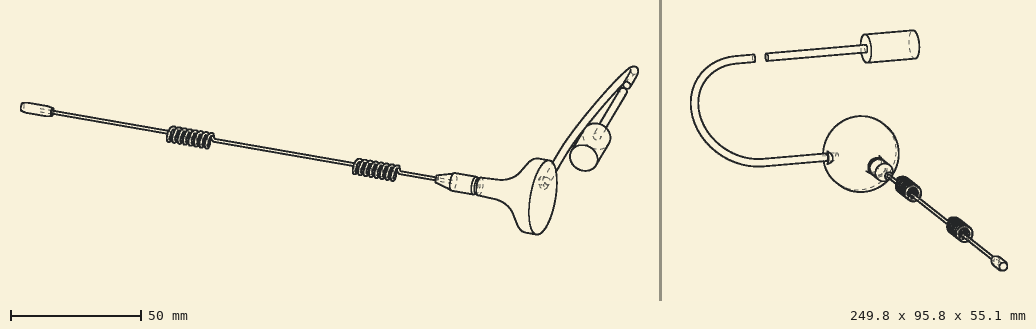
import cadquery as cq
import math


base_radius = 14.5
rim_fillet = 2.0
flare_end_x = -9.6
flare_end_radius = 9.0
flare_start_x = -19.9
neck_radius = 3.8
ferrule_radius = 3.5
groove_x = -27.3
groove_half_width = 1.0
groove_depth = 0.5
shoulder_x = -37.2
shoulder_length = 0.8
cone_base_radius = 3.1
ferrule_tip_x = -44.0
ferrule_tip_radius = 1.5

wire_diameter = 1.25
wire_radius = wire_diameter / 2
wire_grip = 6.0
coil_centers_x = (-145.8, -68.8)
coil_radius = 2.55
coil_axis_y = -1.1
coil_pitch = 2.25
coil_passes = 8
coil_end_angle = 60.0
coil_lead_length = 1.2

cap_tip_x = -215.7
cap_length = 12.4
cap_radius = 2.0
cap_end_radius = 1.6
cap_nose_length = 1.8
cap_tail_length = 2.3

cable_diameter = 3.0
cable_radius = cable_diameter / 2
cable_boss_radius = 2.7
cable_boss_x = -4.4
cable_boss_end_y = 14.1
cable_angle = math.radians(7.5)
cable_origin_x = -2.5
cable_start = 10.0
cable_bend_start = 40.8
cable_bend_radius = 22.15
cable_height = 35.05
cable_tail_length = 7.4
cable_gap = 5.4
cable_lead_length = 41.2
connector_radius = 5.5
connector_length = 20.0

outward = cq.Vector(-math.sin(cable_angle), math.cos(cable_angle), 0)
across = cq.Vector(math.cos(cable_angle), math.sin(cable_angle), 0)
up = cq.Vector(0, 0, 1)
along_x = cq.Vector(1, 0, 0)


def rod(start, direction, length, radius):
    """Round rod from a start point along a direction."""
    return cq.Workplane(obj=cq.Solid.makeCylinder(radius, length, start, direction))


def turned(profile):
    """Solid of revolution about the X axis from a closed profile."""
    return profile.close().revolve(360, (0, 0, 0), (1, 0, 0))


cap_tail_x = cap_tip_x + cap_length
wire_start_x = cap_tail_x - wire_grip
wire_end_x = ferrule_tip_x + wire_grip

coil_turns = coil_passes - 2 * coil_end_angle / 360
coil_height = coil_turns * coil_pitch
coil_half_length = coil_height / 2 + coil_lead_length


def coil(center_x):
    """Left-handed winding with a bend at each end that meets the straight wire."""
    winding = cq.Wire.makeHelix(coil_pitch, coil_height, coil_radius, lefthand=True)
    winding = winding.translate(cq.Vector(0, 0, -coil_height / 2))
    winding = winding.rotate(cq.Vector(), up, -coil_end_angle).Edges()[0]
    entry = cq.Vector(-coil_axis_y, 0, -coil_half_length)
    leave = cq.Vector(-coil_axis_y, 0, coil_half_length)
    lead_in = cq.Edge.makeSpline([entry, winding.startPoint()], [up, winding.tangentAt(0)])
    lead_out = cq.Edge.makeSpline([winding.endPoint(), leave], [winding.tangentAt(1), up])
    path = cq.Wire.assembleEdges([lead_in, winding, lead_out])
    section = cq.Wire.makeCircle(wire_radius, entry, up)
    body = cq.Solid.sweep(section, [], path, True, True)
    frame = cq.Plane(origin=(center_x, coil_axis_y, 0), xDir=(0, 1, 0), normal=(1, 0, 0))
    return cq.Workplane(obj=body.moved(cq.Location(frame)))


def make_whip():
    starts = [wire_start_x] + [x + coil_half_length for x in coil_centers_x]
    ends = [x - coil_half_length for x in coil_centers_x] + [wire_end_x]
    body = cq.Workplane()
    for start, end in zip(starts, ends):
        body = body.add(rod(cq.Vector(start, 0, 0), along_x, end - start, wire_radius))
    for center_x in coil_centers_x:
        body = body.add(coil(center_x))
    return body.combine()


def make_cap():
    profile = (
        cq.Workplane("XZ")
        .moveTo(cap_tip_x, 0)
        .lineTo(cap_tip_x, cap_end_radius)
        .lineTo(cap_tip_x + cap_nose_length, cap_radius)
        .lineTo(cap_tail_x - cap_tail_length, cap_radius)
        .lineTo(cap_tail_x, cap_end_radius)
        .lineTo(cap_tail_x, 0)
    )
    socket = rod(cq.Vector(wire_start_x, 0, 0), along_x, wire_grip, wire_radius)
    return turned(profile).cut(socket)


run_start = cq.Vector(cable_origin_x, 0, 0) + outward * cable_start
bend_start = cq.Vector(cable_origin_x, 0, 0) + outward * cable_bend_start
bend_span_x = math.sqrt((2 * cable_bend_radius) ** 2 - cable_height**2)
bend_end = bend_start + across * bend_span_x + up * cable_height
bend_top = (bend_start + bend_end) * 0.5 + outward * cable_bend_radius
tail_end = bend_end - outward * cable_tail_length
lead_start = tail_end - outward * cable_gap
connector_front = lead_start - outward * cable_lead_length


def make_base_cable():
    run = cq.Edge.makeLine(run_start, bend_start)
    bend = cq.Edge.makeThreePointArc(bend_start, bend_top, bend_end)
    tail = cq.Edge.makeLine(bend_end, tail_end)
    path = cq.Wire.assembleEdges([run, bend, tail])
    return cq.Workplane(cq.Plane(run_start, across, outward)).circle(cable_radius).sweep(path)


def make_connector_cable():
    return rod(lead_start, outward * -1, cable_lead_length, cable_radius)


def make_connector():
    return rod(connector_front, outward * -1, connector_length, connector_radius)


def make_base():
    flare_length = flare_end_x - flare_start_x
    flare_rise = flare_end_radius - neck_radius
    flare_angle = 2 * math.atan(flare_rise / flare_length)
    rim_x = flare_end_x + (base_radius - flare_end_radius) / math.tan(flare_angle)
    profile = (
        cq.Workplane("XZ")
        .moveTo(0, 0)
        .lineTo(0, base_radius)
        .lineTo(rim_x, base_radius)
        .lineTo(flare_end_x, flare_end_radius)
        .tangentArcPoint((flare_start_x, neck_radius), relative=False)
        .lineTo(groove_x + groove_half_width, ferrule_radius)
        .lineTo(groove_x, ferrule_radius - groove_depth)
        .lineTo(groove_x - groove_half_width, ferrule_radius)
        .lineTo(shoulder_x, ferrule_radius)
        .lineTo(shoulder_x - shoulder_length, cone_base_radius)
        .lineTo(ferrule_tip_x, ferrule_tip_radius)
        .lineTo(ferrule_tip_x, 0)
    )
    rim_margin = rim_fillet / 10
    rim = cq.selectors.BoxSelector(
        (rim_x - rim_margin, -base_radius, -base_radius),
        (rim_x + rim_margin, base_radius, base_radius),
    )
    body = turned(profile).edges(rim).fillet(rim_fillet)
    wire_socket = rod(cq.Vector(ferrule_tip_x, 0, 0), along_x, wire_grip, wire_radius)
    cable_socket = rod(run_start, outward, base_radius, cable_radius)
    boss_start = cq.Vector(cable_boss_x, cable_start, 0)
    boss_length = cable_boss_end_y - cable_start
    boss = rod(boss_start, cq.Vector(0, 1, 0), boss_length, cable_boss_radius)
    return body.union(boss).cut(wire_socket).cut(cable_socket)


base = make_base()
whip = make_whip()
cap = make_cap()
base_cable = make_base_cable()
connector_cable = make_connector_cable()
connector = make_connector()

bodies = [base, whip, cap, base_cable, connector_cable, connector]
result = cq.Compound.makeCompound([body.solids().val() for body in bodies])